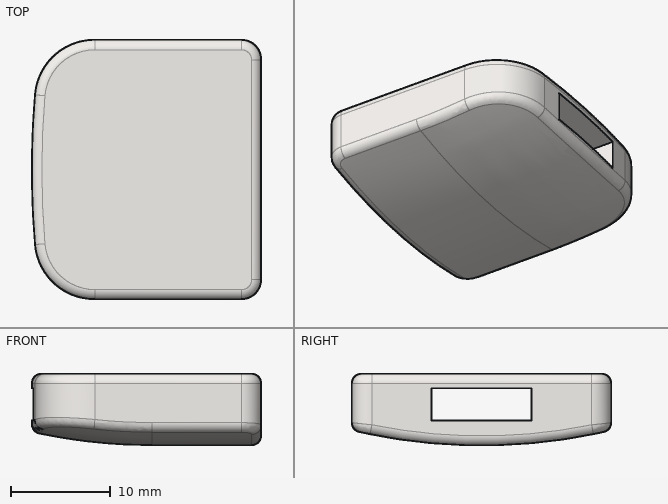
import cadquery as cq
import math

length = 22.98
width = 26.0
height = 7.2
half_width = width / 2

front_bow_radius = 90.0
front_corner_radius = 6.0
rear_corner_radius = 2.0

arch_radius = 55.9
rise_radius = 54.08
rise_start_x = 12.0

edge_fillet = 1.0

slot_width = 10.0
slot_height = 3.2
slot_bottom = 2.52

overlap = 2.6


def make_block():
    """Extrude the plan outline, with corners tangent to the front bow."""
    corner_y = half_width - front_corner_radius
    bow_angle = math.asin(corner_y / (front_bow_radius - front_corner_radius))
    bow_end_x = front_bow_radius * (1 - math.cos(bow_angle))
    bow_end_y = front_bow_radius * math.sin(bow_angle)
    corner_x = bow_end_x + front_corner_radius * math.cos(bow_angle)
    mid_angle = (bow_angle + math.pi / 2) / 2
    corner_mid_x = corner_x - front_corner_radius * math.cos(mid_angle)
    corner_mid_y = corner_y + front_corner_radius * math.sin(mid_angle)

    outline = (
        cq.Workplane("XY")
        .moveTo(bow_end_x, -bow_end_y)
        .threePointArc((0, 0), (bow_end_x, bow_end_y))
        .threePointArc((corner_mid_x, corner_mid_y), (corner_x, half_width))
        .lineTo(length, half_width)
        .lineTo(length, -half_width)
        .lineTo(corner_x, -half_width)
        .threePointArc((corner_mid_x, -corner_mid_y), (bow_end_x, -bow_end_y))
        .close()
    )
    return outline.extrude(height).edges("|Z and >X").fillet(rear_corner_radius)


def arch_section():
    """Section at the start of the rise: arched bottom, reaching up to the rise axis."""
    reach = half_width + overlap
    arch_end_z = arch_radius - math.sqrt(arch_radius**2 - reach**2)
    return (
        cq.Workplane("YZ", origin=(rise_start_x, 0, 0))
        .moveTo(-reach, arch_end_z)
        .threePointArc((0, 0), (reach, arch_end_z))
        .lineTo(reach, rise_radius)
        .lineTo(-reach, rise_radius)
        .close()
    )


def make_underside_envelope():
    """Space above the underside: a straight rear run joined to a revolved front rise."""
    rear = arch_section().extrude(length - rise_start_x + overlap)
    front = arch_section().revolve(90, (0, rise_radius, 0), (1, rise_radius, 0))
    return rear.union(front)


def make_slot():
    """Rectangular slot running through the part along X."""
    return (
        cq.Workplane("YZ", origin=(-overlap, 0, 0))
        .center(0, slot_bottom + slot_height / 2)
        .rect(slot_width, slot_height)
        .extrude(length + 2 * overlap)
    )


body = make_block().intersect(make_underside_envelope())
body = body.faces(">Z").edges().fillet(edge_fillet)
rim = body.faces("<Z").edges(">X")
body = rim.fillet(edge_fillet)
result = body.cut(make_slot())